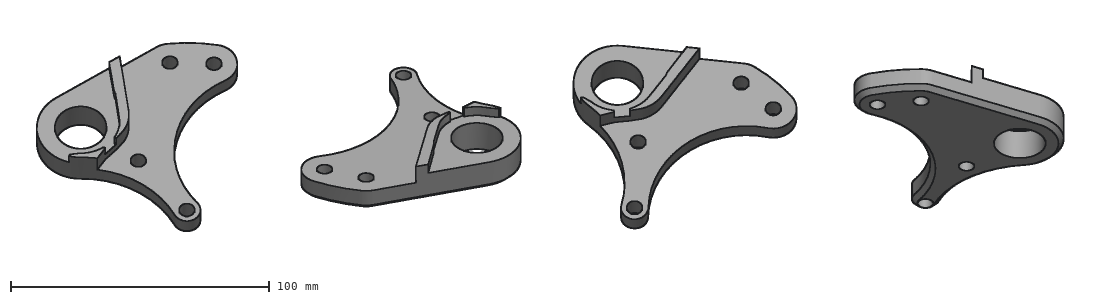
import cadquery as cq
import math

plate_top = 8.85
floor_top = 12.4
lip_top = 16.5
bottom_chamfer = 2.0

bore_center = (0, 0)
bore_radius = 10.0
boss_radius = 17.0

hole_radius = 3.0
shoulder_center = (11.2, 46.5)
tip_center = (25.8, 55.2)
web_center = (tip_center[0], 0.9)
arm_center = (54.15, -8.7)
tip_radius = 9.0
arm_radius = 5.3

crown_radius = 64.95
scoop_radius = 38.0
belly_radius = 40.0

lip_inner_radius = 15.0
gap_top = 0.65
gap_bottom = -5.4
fin_x = 14.8
fin_tail_x = 4.95

margin = 24.35
slab_size = 162.4


def circle_crossing(first, first_radius, second, second_radius):
    """Crossing of two circles that lies to the left of the way from first to second."""
    dx = second[0] - first[0]
    dy = second[1] - first[1]
    span = math.hypot(dx, dy)
    along = (span**2 + first_radius**2 - second_radius**2) / (2 * span)
    aside = math.sqrt(first_radius**2 - along**2)
    return (first[0] + (along * dx - aside * dy) / span, first[1] + (along * dy + aside * dx) / span)


def toward(start, target, distance):
    """Point at a signed distance from start on the line through target."""
    span = math.dist(start, target)
    return tuple(s + (t - s) * distance / span for s, t in zip(start, target))


def arc_middle(center, radius, first, last):
    """Middle of the shorter arc between two points on a circle."""
    chord_middle = ((first[0] + last[0]) / 2, (first[1] + last[1]) / 2)
    return toward(center, chord_middle, radius)


def point_on_lip_circle(y):
    return (math.sqrt(lip_inner_radius**2 - y**2), y)


def make_outline():
    """Closed plan outline, every stretch tangent to the next."""
    crown_center = circle_crossing(
        tip_center, crown_radius - tip_radius, shoulder_center, crown_radius - tip_radius
    )
    belly_center = circle_crossing(
        arm_center, belly_radius + arm_radius, bore_center, belly_radius + boss_radius
    )
    scoop_center = circle_crossing(
        tip_center, scoop_radius + tip_radius, arm_center, scoop_radius + arm_radius
    )

    flank_length = math.dist(bore_center, shoulder_center)
    flank_angle = math.atan2(shoulder_center[1], shoulder_center[0])
    normal_angle = flank_angle + math.acos((boss_radius - tip_radius) / flank_length)
    normal = (math.cos(normal_angle), math.sin(normal_angle))
    flank_low = (boss_radius * normal[0], boss_radius * normal[1])
    flank_high = (shoulder_center[0] + tip_radius * normal[0], shoulder_center[1] + tip_radius * normal[1])

    crown_left = toward(crown_center, shoulder_center, crown_radius)
    crown_right = toward(crown_center, tip_center, crown_radius)
    scoop_high = toward(tip_center, scoop_center, tip_radius)
    scoop_low = toward(arm_center, scoop_center, arm_radius)
    belly_right = toward(arm_center, belly_center, arm_radius)
    belly_left = toward(bore_center, belly_center, boss_radius)
    boss_far = toward(bore_center, shoulder_center, -boss_radius)

    return (
        cq.Workplane("XY")
        .moveTo(*flank_low)
        .lineTo(*flank_high)
        .threePointArc(arc_middle(shoulder_center, tip_radius, flank_high, crown_left), crown_left)
        .threePointArc(arc_middle(crown_center, crown_radius, crown_left, crown_right), crown_right)
        .threePointArc(arc_middle(tip_center, tip_radius, crown_right, scoop_high), scoop_high)
        .threePointArc(arc_middle(scoop_center, scoop_radius, scoop_high, scoop_low), scoop_low)
        .threePointArc((arm_center[0] + arm_radius, arm_center[1]), belly_right)
        .threePointArc(arc_middle(belly_center, belly_radius, belly_right, belly_left), belly_left)
        .threePointArc(boss_far, flank_low)
        .close()
    )


lip_outer_start = (-7.8, 38.8)
lip_outer_bend = (12.9, 14.2)
bend_middle = (15.35, 10.1)
bend_end = (16.2, 5.35)
lip_end = (15.8, gap_top)
fin_top = (fin_x, gap_bottom)

lip_inner_start = (-7.8, 31.8)
jog_high = (3.25, 19.0)
jog_low = (4.3, 18.3)
lip_inner_bend = point_on_lip_circle(9.7)
lip_inner_end = point_on_lip_circle(gap_top)

fin_inner_top = point_on_lip_circle(gap_bottom)
fin_inner_low = point_on_lip_circle(-12.75)
fin_tail = (fin_tail_x, -15.3)


def make_floor_area():
    """Everything on the bore side of the lip's outer wall."""
    return (
        cq.Workplane("XY")
        .moveTo(*lip_outer_start)
        .lineTo(*lip_outer_bend)
        .threePointArc(bend_middle, bend_end)
        .lineTo(*lip_end)
        .lineTo(*fin_top)
        .lineTo(fin_x, -margin)
        .lineTo(-margin, -margin)
        .lineTo(-margin, lip_outer_start[1])
        .close()
        .extrude(floor_top)
    )


def make_long_lip():
    inner_middle = arc_middle(bore_center, lip_inner_radius, lip_inner_bend, lip_inner_end)
    return (
        cq.Workplane("XY")
        .moveTo(*lip_outer_start)
        .lineTo(*lip_outer_bend)
        .threePointArc(bend_middle, bend_end)
        .lineTo(*lip_end)
        .lineTo(*lip_inner_end)
        .threePointArc(inner_middle, lip_inner_bend)
        .lineTo(*jog_low)
        .lineTo(*jog_high)
        .lineTo(*lip_inner_start)
        .close()
        .extrude(lip_top)
    )


def make_fin():
    inner_middle = arc_middle(bore_center, lip_inner_radius, fin_inner_top, fin_inner_low)
    return (
        cq.Workplane("XY")
        .moveTo(*fin_top)
        .lineTo(*fin_inner_top)
        .threePointArc(inner_middle, fin_inner_low)
        .lineTo(*fin_tail)
        .lineTo(fin_tail_x, -margin)
        .lineTo(fin_x, -margin)
        .close()
        .extrude(lip_top)
    )


blank = make_outline().extrude(lip_top).faces("<Z").chamfer(bottom_chamfer)
plate_slab = cq.Workplane("XY").rect(slab_size, slab_size).extrude(plate_top)
kept = plate_slab.union(make_floor_area()).union(make_long_lip()).union(make_fin())
body = blank.intersect(kept)

bore = cq.Workplane("XY").circle(bore_radius).extrude(lip_top)
hole_centers = [shoulder_center, tip_center, web_center, arm_center]
small_holes = cq.Workplane("XY").pushPoints(hole_centers).circle(hole_radius).extrude(lip_top)

result = body.cut(bore).cut(small_holes)